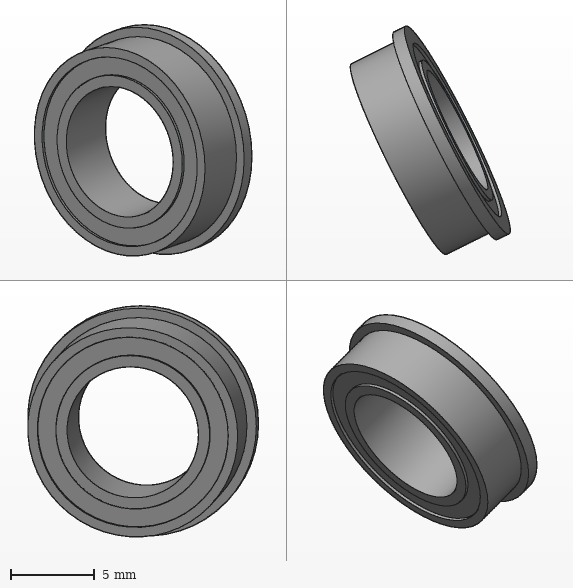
import cadquery as cq

flange_diameter = 13.83
body_diameter = 12.7
shield_outer_diameter = 11.53
shield_inner_diameter = 9.31
bore_diameter = 7.94
width = 3.91
flange_thickness = 0.79
shield_recess = 0.2


def cylinder(diameter, start_y, length):
    """Solid cylinder along +Y, starting at start_y."""
    return cq.Workplane("XZ", origin=(0, start_y, 0)).circle(diameter / 2).extrude(-length)


def shield_groove(start_y):
    """Annular recess between the inner and outer rings."""
    outer = cylinder(shield_outer_diameter, start_y, shield_recess)
    return outer.cut(cylinder(shield_inner_diameter, start_y, shield_recess))


body = cylinder(body_diameter, 0, width)
flange = cylinder(flange_diameter, width - flange_thickness, flange_thickness)
bearing = body.union(flange)

bearing = bearing.cut(cylinder(bore_diameter, 0, width))

for groove_start in (0, width - shield_recess):
    bearing = bearing.cut(shield_groove(groove_start))

result = bearing